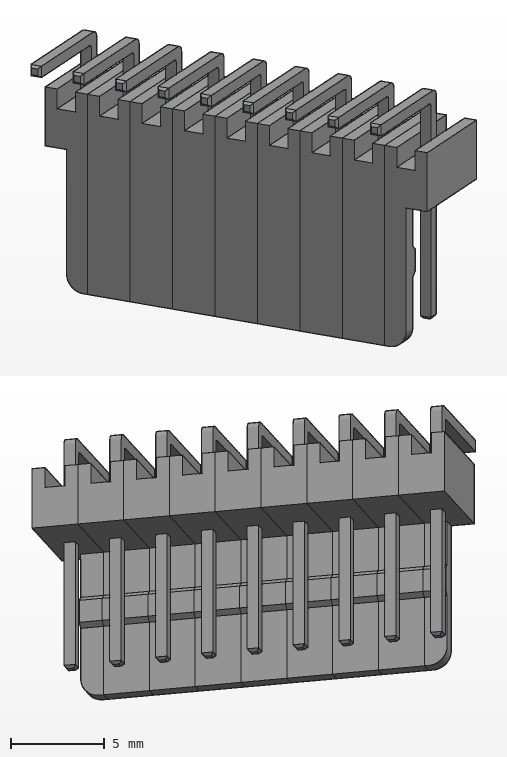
import cadquery as cq


row_length = 22.85
module_count = 9
pitch = row_length / module_count

block_depth = 5.8
block_bottom = 8.0
block_top = 11.34
slot_width = 1.1
slot_depth = 1.12

wall_thickness = 0.82
wall_end_inset = pitch / 2
wall_corner_radius = 1.0

ridge_height = 0.27
ridge_bottom = 3.85
ridge_top = 5.58
ridge_slope = 0.25

pin_size = 0.65
pin_front = 2.3
pin_bottom = 0.95
pin_top = 13.9
pin_reach = 3.7
bend_outer_radius = 0.41
bend_inner_radius = 0.2
tip_length = 0.15
tip_inset = 0.14


def base_block():
    """Block of one module, with the slot that runs front to back around the pin."""
    block = cq.Workplane("XY").box(
        pitch, block_depth, block_top - block_bottom, centered=(True, False, False)
    ).translate((0, 0, block_bottom))
    slot = cq.Workplane("XY").box(
        slot_width, block_depth, slot_depth, centered=(True, False, False)
    ).translate((0, 0, block_top - slot_depth))
    return block.cut(slot)


def wall(left, right):
    """Ridged wall between two X positions, drawn as a Y-Z profile."""
    ridge_face = wall_thickness + ridge_height
    profile = [
        (0, 0),
        (wall_thickness, 0),
        (wall_thickness, ridge_bottom),
        (ridge_face, ridge_bottom + ridge_slope),
        (ridge_face, ridge_top - ridge_slope),
        (wall_thickness, ridge_top),
        (wall_thickness, block_bottom),
        (0, block_bottom),
    ]
    return cq.Workplane("YZ", origin=(left, 0, 0)).polyline(profile).close().extrude(right - left)


def tapered_tip(plane):
    """Short square taper from the full pin section, along the plane's normal."""
    end_size = pin_size - 2 * tip_inset
    return (
        cq.Workplane(plane)
        .rect(pin_size, pin_size)
        .workplane(offset=tip_length)
        .rect(end_size, end_size)
        .loft(ruled=True)
    )


def bent_pin():
    """Pin that rises through the block, bends forward and tapers at both ends."""
    pin_back = pin_front + pin_size
    arm_bottom = pin_top - pin_size
    arm_end = tip_length - pin_reach
    leg_end = pin_bottom + tip_length
    profile = [
        (pin_front, leg_end),
        (pin_back, leg_end),
        (pin_back, pin_top),
        (arm_end, pin_top),
        (arm_end, arm_bottom),
        (pin_front, arm_bottom),
    ]
    pin = cq.Workplane("YZ").polyline(profile).close().extrude(pin_size / 2, both=True)

    outer_corner = cq.selectors.NearestToPointSelector((0, pin_back, pin_top))
    pin = pin.edges("|X").edges(outer_corner).fillet(bend_outer_radius)
    inner_corner = cq.selectors.NearestToPointSelector((0, pin_front, arm_bottom))
    pin = pin.edges("|X").edges(inner_corner).fillet(bend_inner_radius)

    leg_center = (0, pin_front + pin_size / 2, leg_end)
    arm_center = (0, arm_end, pin_top - pin_size / 2)
    leg_tip = tapered_tip(cq.Plane(leg_center, xDir=(1, 0, 0), normal=(0, 0, -1)))
    arm_tip = tapered_tip(cq.Plane(arm_center, xDir=(1, 0, 0), normal=(0, -1, 0)))
    return pin.union(leg_tip).union(arm_tip)


def inner_module():
    """One-piece module whose wall spans the whole pitch."""
    return base_block().union(wall(-pitch / 2, pitch / 2)).union(bent_pin())


def left_end_module():
    """One-piece module whose wall stops short of the row end and has a rounded lower corner."""
    wall_left = wall_end_inset - pitch / 2
    end_wall = wall(wall_left, pitch / 2)
    end_wall = end_wall.faces("<X").edges("<Z").fillet(wall_corner_radius)
    return base_block().union(end_wall).union(bent_pin())


def module_center(index):
    """X position of a module, with the row centered on X = 0."""
    return (index - (module_count - 1) / 2) * pitch


last_index = module_count - 1
left_end = left_end_module()
right_end = left_end.mirror("YZ")
inner = inner_module()

modules = [left_end.translate((module_center(0), 0, 0))]
for index in range(1, last_index):
    modules.append(inner.translate((module_center(index), 0, 0)))
modules.append(right_end.translate((module_center(last_index), 0, 0)))

result = cq.Compound.makeCompound([module.solids().val() for module in modules])